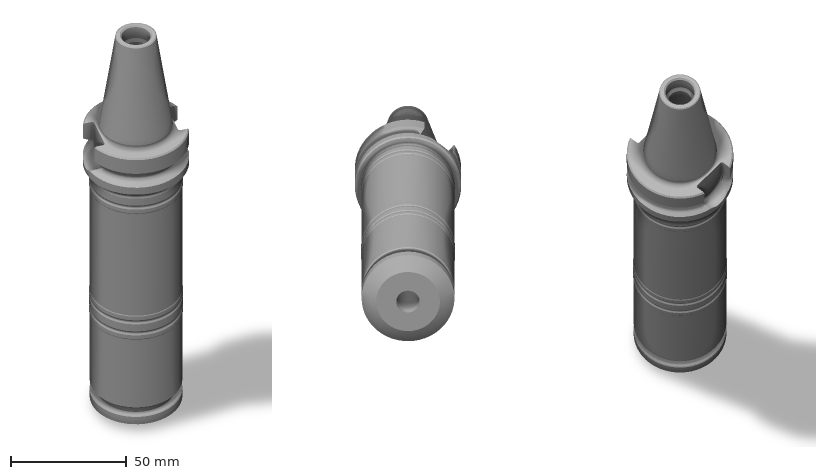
import cadquery as cq
import math

TOTAL_LENGTH = 202.5

TAPER_LENGTH = 48.4
GAUGE_DIAMETER = 31.8
TAPER_RATIO = 7 / 24
TIP_CHAMFER = 0.5
COLLAR_DIAMETER = 30.8
COLLAR_HEIGHT = 1.8
COLLAR_FILLET = 1.0

FLANGE_DIAMETER = 46.0
FLANGE_HEIGHT = 20.2
UPPER_RIM_HEIGHT = 8.0
LOWER_RIM_HEIGHT = 4.5
GROOVE_DIAMETER = 37.6
GROOVE_FLANK_ANGLE = 30.0
GROOVE_FILLET = 0.5
FLANGE_CHAMFER = 0.6

SLOT_WIDTH = 16.8
SLOT_FLOOR_OFFSET = 16.5
SLOT_DEPTH = 17.2
SLOT_FILLET = 0.8

BODY_DIAMETER = 40.0
BAND_DIAMETER = 40.5
OUTER_BAND_HEIGHT = 2.8
MIDDLE_BAND_HEIGHT = 4.7
BAND_EDGE_HEIGHT = 0.5
BAND_GAP = 1.5
BAND_GROOVE_DIAMETER = 39.5
BAND_GROUP_CENTERS = (57.0, 126.3)

NECK_DIAMETER = 34.0
NECK_HEIGHT = 4.5
NOSE_HEIGHT = 8.3
NOSE_TIP_DIAMETER = 27.5
NOSE_CHAMFER_HEIGHT = 3.8
NECK_EDGE_CHAMFER = 0.5

BORE_DIAMETER = 10.1
COUNTERBORE_DIAMETER = 12.5
COUNTERBORE_DEPTH = 6.7
MOUTH_DIAMETER = 14.0

GAUGE_Z = TOTAL_LENGTH - TAPER_LENGTH
FLANGE_TOP_Z = GAUGE_Z - COLLAR_HEIGHT
FLANGE_BOTTOM_Z = FLANGE_TOP_Z - FLANGE_HEIGHT
NECK_TOP_Z = NOSE_HEIGHT + NECK_HEIGHT


def cylinder(diameter, bottom, top):
    """Upright cylinder on the tool axis between two heights."""
    return cq.Workplane("XY").workplane(offset=bottom).circle(diameter / 2).extrude(top - bottom)


def revolve_profile(points):
    """Solid of revolution about Z from (radius, height) points."""
    return cq.Workplane("XZ").polyline(points).close().revolve(360, (0, 0), (0, 1))


def make_shank():
    """Taper above a short collar that blends into the flange top with a concave fillet."""
    collar_radius = COLLAR_DIAMETER / 2
    tip_radius = (GAUGE_DIAMETER - TAPER_LENGTH * TAPER_RATIO) / 2
    arc_offset = COLLAR_FILLET * (1 - math.sqrt(0.5))
    return (
        cq.Workplane("XZ")
        .moveTo(0, FLANGE_TOP_Z)
        .lineTo(collar_radius + COLLAR_FILLET, FLANGE_TOP_Z)
        .threePointArc(
            (collar_radius + arc_offset, FLANGE_TOP_Z + arc_offset),
            (collar_radius, FLANGE_TOP_Z + COLLAR_FILLET),
        )
        .lineTo(collar_radius, GAUGE_Z)
        .lineTo(GAUGE_DIAMETER / 2, GAUGE_Z)
        .lineTo(tip_radius, TOTAL_LENGTH)
        .lineTo(0, TOTAL_LENGTH)
        .close()
        .revolve(360, (0, 0), (0, 1))
        .faces(">Z")
        .chamfer(TIP_CHAMFER)
    )


def make_flange():
    rim_radius = FLANGE_DIAMETER / 2
    groove_radius = GROOVE_DIAMETER / 2
    flank_height = (rim_radius - groove_radius) * math.tan(math.radians(GROOVE_FLANK_ANGLE))
    upper_rim_z = FLANGE_TOP_Z - UPPER_RIM_HEIGHT
    lower_rim_z = FLANGE_BOTTOM_Z + LOWER_RIM_HEIGHT
    flange = revolve_profile([
        (0, FLANGE_BOTTOM_Z),
        (rim_radius - FLANGE_CHAMFER, FLANGE_BOTTOM_Z),
        (rim_radius, FLANGE_BOTTOM_Z + FLANGE_CHAMFER),
        (rim_radius, lower_rim_z),
        (groove_radius, lower_rim_z + flank_height),
        (groove_radius, upper_rim_z - flank_height),
        (rim_radius, upper_rim_z),
        (rim_radius, FLANGE_TOP_Z - FLANGE_CHAMFER),
        (rim_radius - FLANGE_CHAMFER, FLANGE_TOP_Z),
        (0, FLANGE_TOP_Z),
    ])
    groove_corners = cq.selectors.RadiusNthSelector(0)
    return flange.edges(groove_corners).fillet(GROOVE_FILLET)


def make_drive_slot(side):
    """Round-bottomed slot cutter; side is -1 for the -Y slot and +1 for the +Y slot."""
    half_width = SLOT_WIDTH / 2
    bottom_z = FLANGE_TOP_Z - SLOT_DEPTH
    cutter_top_z = GAUGE_Z
    floor_side = "<Y" if side > 0 else ">Y"
    return (
        cq.Workplane("XZ", origin=(0, side * SLOT_FLOOR_OFFSET, 0))
        .moveTo(-half_width, cutter_top_z)
        .lineTo(-half_width, bottom_z + half_width)
        .threePointArc((0, bottom_z), (half_width, bottom_z + half_width))
        .lineTo(half_width, cutter_top_z)
        .close()
        .extrude(-side * FLANGE_DIAMETER / 2)
        .faces(floor_side)
        .edges()
        .fillet(SLOT_FILLET)
    )


def make_band(center_z, height):
    """Raised band whose edges slope gently down to the body surface."""
    bottom = center_z - height / 2
    top = center_z + height / 2
    return revolve_profile([
        (0, bottom),
        (BODY_DIAMETER / 2, bottom),
        (BAND_DIAMETER / 2, bottom + BAND_EDGE_HEIGHT),
        (BAND_DIAMETER / 2, top - BAND_EDGE_HEIGHT),
        (BODY_DIAMETER / 2, top),
        (0, top),
    ])


def make_band_groove(center_z):
    """Ring cutter for the shallow concave groove between two neighbouring bands."""
    body_radius = BODY_DIAMETER / 2
    return (
        cq.Workplane("XZ")
        .moveTo(body_radius, center_z - BAND_GAP / 2)
        .threePointArc((BAND_GROOVE_DIAMETER / 2, center_z), (body_radius, center_z + BAND_GAP / 2))
        .close()
        .revolve(360, (0, 0), (0, 1))
    )


def make_body():
    """Cylindrical body with groups of one wide band between two narrow ones."""
    outer_band_offset = (MIDDLE_BAND_HEIGHT + OUTER_BAND_HEIGHT) / 2 + BAND_GAP
    groove_offset = (MIDDLE_BAND_HEIGHT + BAND_GAP) / 2
    body = cylinder(BODY_DIAMETER, NECK_TOP_Z, FLANGE_BOTTOM_Z)
    body = body.faces("<Z").chamfer(NECK_EDGE_CHAMFER)
    for center_z in BAND_GROUP_CENTERS:
        body = body.union(make_band(center_z, MIDDLE_BAND_HEIGHT))
        for side in (-1, 1):
            body = body.union(make_band(center_z + side * outer_band_offset, OUTER_BAND_HEIGHT))
            body = body.cut(make_band_groove(center_z + side * groove_offset))
    return body


def make_nose():
    nose = revolve_profile([
        (0, 0),
        (NOSE_TIP_DIAMETER / 2, 0),
        (BODY_DIAMETER / 2, NOSE_CHAMFER_HEIGHT),
        (BODY_DIAMETER / 2, NOSE_HEIGHT - NECK_EDGE_CHAMFER),
        (BODY_DIAMETER / 2 - NECK_EDGE_CHAMFER, NOSE_HEIGHT),
        (0, NOSE_HEIGHT),
    ])
    return nose.union(cylinder(NECK_DIAMETER, NOSE_HEIGHT, NECK_TOP_Z))


def make_bore():
    """Through bore with a counterbore at the shank tip; mouth and step slope at 45 degrees."""
    bore_radius = BORE_DIAMETER / 2
    counterbore_radius = COUNTERBORE_DIAMETER / 2
    mouth_radius = MOUTH_DIAMETER / 2
    step_z = TOTAL_LENGTH - COUNTERBORE_DEPTH
    return revolve_profile([
        (0, 0),
        (bore_radius, 0),
        (bore_radius, step_z - (counterbore_radius - bore_radius)),
        (counterbore_radius, step_z),
        (counterbore_radius, TOTAL_LENGTH - (mouth_radius - counterbore_radius)),
        (mouth_radius, TOTAL_LENGTH),
        (0, TOTAL_LENGTH),
    ])


result = make_shank().union(make_flange()).union(make_body()).union(make_nose())
for slot_side in (-1, 1):
    result = result.cut(make_drive_slot(slot_side))
result = result.cut(make_bore())